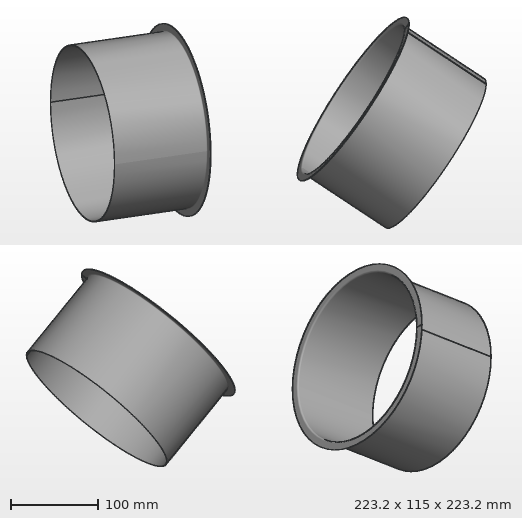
import cadquery as cq

flange_diameter = 223.2
bore_diameter = 203.1
tube_diameter = 205.1
overall_length = 115.0
seam_gap = 0.1

wall = (tube_diameter - bore_diameter) / 2
root_radius = wall
bore_radius = bore_diameter / 2
tube_radius = tube_diameter / 2
flange_radius = flange_diameter / 2
bend_radius = root_radius + wall
back_y = overall_length / 2
front_y = -back_y
flange_front_y = back_y - wall


def bend_midpoint(radius):
    """Middle of a quarter bend about the shared bend centre."""
    offset = radius * 0.5 ** 0.5
    return (bore_radius + bend_radius - offset, back_y - bend_radius + offset)


section = (
    cq.Workplane("XY")
    .moveTo(bore_radius, front_y)
    .lineTo(tube_radius, front_y)
    .lineTo(tube_radius, flange_front_y - root_radius)
    .threePointArc(bend_midpoint(root_radius), (tube_radius + root_radius, flange_front_y))
    .lineTo(flange_radius, flange_front_y)
    .lineTo(flange_radius, back_y)
    .lineTo(bore_radius + bend_radius, back_y)
    .threePointArc(bend_midpoint(bend_radius), (bore_radius, back_y - bend_radius))
    .close()
)

collar = section.revolve(360, (0, 0, 0), (0, 1, 0))

seam = cq.Workplane("XY").box(
    flange_diameter, 2 * overall_length, seam_gap, centered=(False, True, False)
).translate((-flange_diameter, 0, 0))

result = collar.cut(seam)